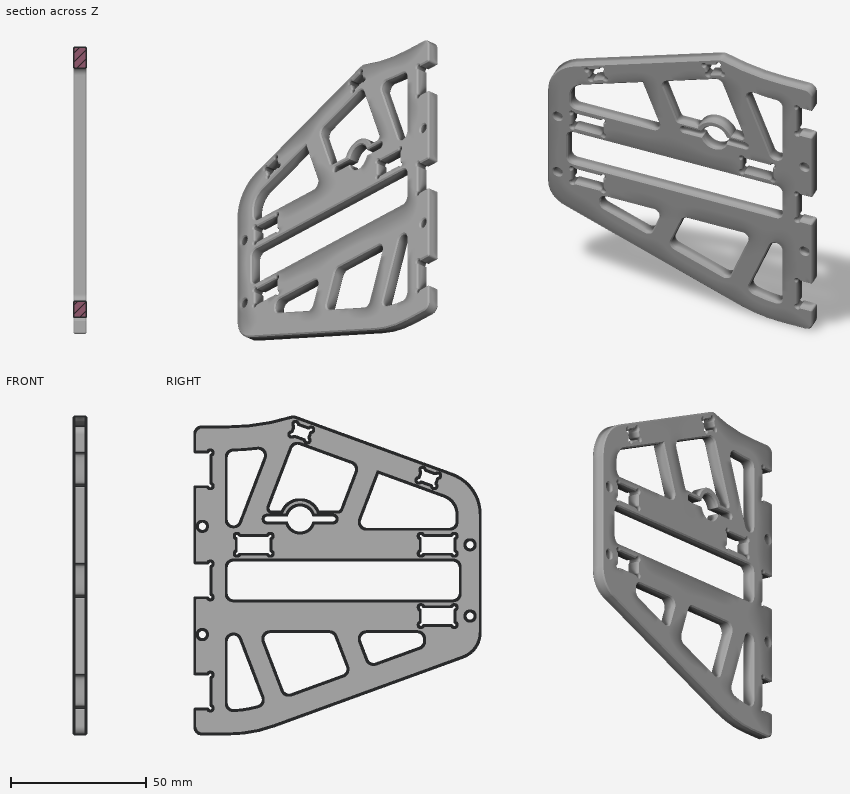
import cadquery as cq
import math


thickness = 5.0
edge_chamfer = 0.5
depth = 106.0
toothed_edge_height = 114.0
half_height = toothed_edge_height / 2
slope_angle = 20
slope = math.tan(math.radians(slope_angle))
rim = 9.1

peak_y = 36.7
peak_z = 60.8
peak_radius = 3.2
hollow_end_y = 12.4
upper_corner_radius = 16.0
lower_corner_radius = 10.0
lower_bend_y = 21.3
lower_bend_radius = 50.0
toothed_corner_radius = 3.0

tab_length = 12.4
notch_depth = 6.0
notch_pitch = 41.1
tab_corner_radius = 0.7
relief_diameter = 1.5
pocket_height = 6.5
pocket_pitch = 26.4
pocket_z = pocket_pitch / 2
front_pocket_y = 22.0
rear_pocket_y = 90.0
rim_pocket_length = 6.1
rim_pocket_height = 4.1
rim_pocket_centres = [(39.7, 54.8), (86.6, 37.9)]

screw_diameter = 3.3
front_screw_y = 3.1
front_screw_z = 20.0
rear_screw_y = 102.0
rear_screw_z = pocket_z

window_radius = 2.5
window_front_y = 12.1
window_z = 19.2
middle_half_height = 7.3
middle_rear_y = 98.1
sharp = 0
upper_rear_y = depth - rim
lower_rear_y = 85.0
front_strut_y = 8.6
rear_strut_y = 44.2
strut_width = 8.0
strut_angle = math.radians(21)

seat_y = 39.2
seat_z = 22.7
seat_diameter = 9.9
seat_wall_radius = 7.4
seat_slot_length = 26.8
seat_slot_height = 2.4
seat_window_z = 25.5
seat_window_radius = 1.2


def disc(y, z, radius):
    """Cylinder through the plate thickness."""
    plane = cq.Workplane("YZ", origin=(-thickness / 2, y, z))
    return plane.circle(radius).extrude(thickness)


def round_corner(body, y, z, radius):
    """Fillet the through-thickness edge at (y, z)."""
    corner = cq.selectors.NearestToPointSelector((0, y, z))
    return body.edges("|X").edges(corner).fillet(radius)


def prism(corners):
    """Polygon through the thickness; each corner is (y, z, radius)."""
    points = [(y, z) for y, z, radius in corners]
    body = cq.Workplane("YZ", origin=(-thickness / 2, 0, 0)).polyline(points).close().extrude(thickness)
    for y, z, radius in corners:
        if radius > sharp:
            body = round_corner(body, y, z, radius)
    return body


def relieved_pocket(y, z, length, height, angle=0):
    """Rectangular cutter with a round relief on every corner, blended into the sides."""
    centre = cq.Workplane("YZ", origin=(-thickness / 2, y, z)).transformed(rotate=(0, 0, angle))
    body = centre.rect(length, height).extrude(thickness)
    reliefs = centre.rect(length, height, forConstruction=True).vertices()
    body = body.union(reliefs.circle(relief_diameter / 2).extrude(thickness))
    return body.edges("|X").fillet(tab_corner_radius)


def upper_edge_z(y, inset):
    """Height of the sloping upper edge, moved inwards by inset."""
    return peak_z + slope * (peak_y - y) - inset * math.hypot(1, slope)


def lower_edge_z(y, inset):
    """Height of the sloping lower edge, moved inwards by inset."""
    return -half_height + slope * (y - lower_bend_y) + inset * math.hypot(1, slope)


def strut_y(base_y, z):
    """Y of a strut face at height z; the struts lean the same way above and below Z = 0."""
    return base_y + abs(z) * math.tan(strut_angle)


def strut_meets_edge(base_y, z_side, inset):
    """Point where a strut face meets the inset upper (+1) or lower (-1) sloping edge."""
    edge_z = upper_edge_z if z_side > 0 else lower_edge_z
    edge_slope = -z_side * slope
    lean = math.tan(strut_angle)
    z = (edge_z(0, inset) + edge_slope * base_y) / (1 - edge_slope * lean * z_side)
    return strut_y(base_y, z), z


strut_width_y = strut_width / math.cos(strut_angle)
front_strut_rear_y = front_strut_y + strut_width_y
rear_strut_rear_y = rear_strut_y + strut_width_y

hollow_run = peak_y - hollow_end_y
hollow_rise = peak_z - half_height
hollow_radius = (hollow_run ** 2 + hollow_rise ** 2) / (2 * hollow_rise)
hollow_z = half_height + hollow_radius

bend_y = lower_bend_y - lower_bend_radius * math.tan(math.radians(slope_angle / 2))
bend_z = -half_height + lower_bend_radius


def plate_blank():
    """Outer contour without notches. The hollow is cut out of a straight-topped blank."""
    blank = prism([
        (0, -half_height, toothed_corner_radius),
        (lower_bend_y, -half_height, lower_bend_radius),
        (depth, lower_edge_z(depth, 0), lower_corner_radius),
        (depth, upper_edge_z(depth, 0), upper_corner_radius),
        (peak_y, peak_z, sharp),
        (hollow_end_y, peak_z, sharp),
        (hollow_end_y, half_height, sharp),
        (0, half_height, toothed_corner_radius),
    ])
    blank = blank.cut(disc(hollow_end_y, hollow_z, hollow_radius))
    return round_corner(blank, peak_y, peak_z, peak_radius)


def cut_notches(plate):
    """Three tab notches in the toothed edge, with rounded tooth corners."""
    for z in (-notch_pitch, 0, notch_pitch):
        plate = plate.cut(relieved_pocket(0, z, 2 * notch_depth, tab_length))
        for corner_z in (z - tab_length / 2, z + tab_length / 2):
            plate = round_corner(plate, 0, corner_z, tab_corner_radius)
    return plate


def front_window(z_side):
    """Triangular window next to the toothed edge; its outer side follows the plate edge."""
    outer_z = z_side * half_height
    tip_z = (window_front_y - front_strut_y) / math.tan(strut_angle)
    body = prism([
        (window_front_y, z_side * tip_z, sharp),
        (window_front_y, outer_z, sharp),
        (strut_y(front_strut_y, outer_z), outer_z, sharp),
    ])
    if z_side > 0:
        body = body.cut(disc(hollow_end_y, hollow_z, hollow_radius + rim))
    else:
        body = body.intersect(disc(bend_y, bend_z, lower_bend_radius - rim))
    return body.edges("|X").fillet(window_radius)


def centre_window(z_side, inner_z, inner_radius):
    """Four-sided window between the two struts."""
    return prism([
        (strut_y(front_strut_rear_y, inner_z), inner_z, inner_radius),
        (*strut_meets_edge(front_strut_rear_y, z_side, rim), window_radius),
        (*strut_meets_edge(rear_strut_y, z_side, rim), window_radius),
        (strut_y(rear_strut_y, inner_z), inner_z, inner_radius),
    ])


def rear_window(z_side, rear_y, outer_rear_radius, outer_strut_radius):
    """Four-sided window between the rear strut and the plain edge."""
    edge_z = upper_edge_z if z_side > 0 else lower_edge_z
    inner_z = z_side * window_z
    return prism([
        (strut_y(rear_strut_rear_y, inner_z), inner_z, window_radius),
        (*strut_meets_edge(rear_strut_rear_y, z_side, rim), outer_strut_radius),
        (rear_y, edge_z(rear_y, rim), outer_rear_radius),
        (rear_y, inner_z, window_radius),
    ])


def middle_window():
    """Long window along the middle of the plate."""
    return prism([
        (window_front_y, -middle_half_height, window_radius),
        (middle_rear_y, -middle_half_height, window_radius),
        (middle_rear_y, middle_half_height, window_radius),
        (window_front_y, middle_half_height, window_radius),
    ])


def round_seat():
    """Round hole crossed by a round-ended slot."""
    plane = cq.Workplane("YZ", origin=(-thickness / 2, seat_y, seat_z))
    slot = plane.slot2D(seat_slot_length, seat_slot_height).extrude(thickness)
    return slot.union(disc(seat_y, seat_z, seat_diameter / 2))


plate = cut_notches(plate_blank())

upper_centre_window = centre_window(1, seat_window_z, seat_window_radius)
seat_wall = disc(seat_y, seat_z, seat_wall_radius)
cutters = [
    middle_window(),
    front_window(1),
    front_window(-1),
    upper_centre_window.cut(seat_wall),
    centre_window(-1, -window_z, window_radius),
    rear_window(1, upper_rear_y, upper_corner_radius - rim, sharp),
    rear_window(-1, lower_rear_y, window_radius, window_radius),
    round_seat(),
]

tab_pocket_centres = [
    (front_pocket_y, pocket_z),
    (rear_pocket_y, pocket_z),
    (rear_pocket_y, -pocket_z),
]
for y, z in tab_pocket_centres:
    cutters.append(relieved_pocket(y, z, tab_length, pocket_height))
for y, z in rim_pocket_centres:
    cutters.append(relieved_pocket(y, z, rim_pocket_length, rim_pocket_height, -slope_angle))

for screw_y, screw_z in [(front_screw_y, front_screw_z), (rear_screw_y, rear_screw_z)]:
    for side in (-1, 1):
        cutters.append(disc(screw_y, side * screw_z, screw_diameter / 2))

for cutter in cutters:
    plate = plate.cut(cutter)

result = plate.faces("<X or >X").edges().chamfer(edge_chamfer)